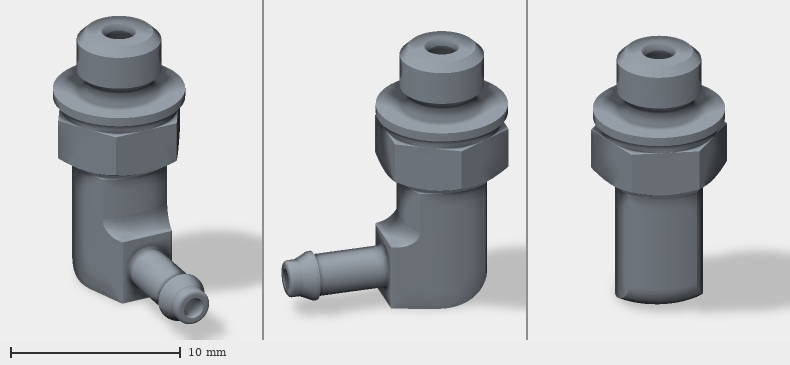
import cadquery as cq
import math

total_height = 16.0
thread_chamfer = 0.5
thread_bottom = 13.47
washer_top = 12.24
washer_bottom = 11.7
hex_top = 11.02
hex_bottom = 8.22
body_top = 7.6

thread_radius = 5.0 / 2
groove_radius = 4.02 / 2
groove_upper_fillet = 0.32
groove_lower_fillet = 0.48
washer_radius = 7.8 / 2
hex_across_flats = 7.0
hex_chamfer_angle = 30.0
neck_radius = 2.5 / 2
neck_fillet = 0.3

body_half_width = 2.6
body_reach = 2.6
bow_radius = 4.15
side_tangent_x = 1.25
block_end_x = 3.62
block_height = 4.05
block_edge_fillet = 0.15
step_fillet = 0.96
heel_fillet = 1.52

barb_end_x = 9.6
barb_axis_z = block_height / 2
tube_radius = 2.5 / 2
tube_root_fillet = 0.18
barb_radius = 2.95 / 2
barb_start_x = 7.9
barb_start_fillet = 0.1
barb_land = 0.2
barb_crest_fillet = 0.18
barb_tip_radius = 2.2 / 2
barb_cone_end_x = 8.91
barb_tip_fillet = 0.22

inlet_radius = 1.5 / 2
inlet_mouth_radius = 2.08 / 2
countersink_depth = 0.34
outlet_radius = 1.3 / 2


def make_stem():
    """Turned neck, boss, washer and threaded end, revolved about Z."""
    groove_corner_z = thread_bottom - (thread_radius - groove_radius)
    setback = groove_upper_fillet * math.tan(math.radians(22.5))
    setback_45 = setback * math.sqrt(0.5)
    blend_mid_angle = math.radians(22.5)
    return (
        cq.Workplane("XZ")
        .moveTo(0, body_top)
        .lineTo(neck_radius, body_top)
        .lineTo(neck_radius, hex_bottom - neck_fillet)
        .radiusArc((neck_radius + neck_fillet, hex_bottom), neck_fillet)
        .lineTo(neck_radius + neck_fillet, hex_top)
        .lineTo(hex_across_flats / 2, hex_top)
        .lineTo(hex_across_flats / 2, washer_bottom)
        .lineTo(washer_radius, washer_bottom)
        .lineTo(washer_radius, washer_top)
        .lineTo(groove_radius + groove_lower_fillet, washer_top)
        .radiusArc((groove_radius, washer_top + groove_lower_fillet), groove_lower_fillet)
        .lineTo(groove_radius, groove_corner_z - setback)
        .threePointArc(
            (
                groove_radius + groove_upper_fillet * (1 - math.cos(blend_mid_angle)),
                groove_corner_z - setback + groove_upper_fillet * math.sin(blend_mid_angle),
            ),
            (groove_radius + setback_45, groove_corner_z + setback_45),
        )
        .lineTo(thread_radius, thread_bottom)
        .lineTo(thread_radius, total_height - thread_chamfer)
        .lineTo(thread_radius - thread_chamfer, total_height)
        .lineTo(0, total_height)
        .close()
        .revolve(360, (0, 0, 0), (0, 1, 0))
    )


def make_hexagon():
    """Hexagon with corners on Y and its lower corners turned off by a cone."""
    corner_radius = hex_across_flats / math.sqrt(3)
    flat_radius = hex_across_flats / 2
    chamfer_height = (corner_radius - flat_radius) * math.tan(math.radians(hex_chamfer_angle))
    prism = (
        cq.Workplane("XY", origin=(0, 0, hex_bottom))
        .polygon(6, 2 * corner_radius)
        .extrude(hex_top - hex_bottom)
        .rotate((0, 0, 0), (0, 0, 1), 30)
    )
    turned_blank = (
        cq.Workplane("XZ")
        .moveTo(0, hex_bottom)
        .lineTo(flat_radius, hex_bottom)
        .lineTo(corner_radius, hex_bottom + chamfer_height)
        .lineTo(corner_radius, hex_top)
        .lineTo(0, hex_top)
        .close()
        .revolve(360, (0, 0, 0), (0, 1, 0))
    )
    return prism.intersect(turned_blank)


def side_bow_y(x):
    """Half width of the body at x, along the bowed side."""
    return body_half_width - bow_radius + math.sqrt(bow_radius**2 - x**2)


def side_flat_y(x):
    """Half width of the body at x, along the flat side tangent to the bow."""
    slope = side_tangent_x / math.sqrt(bow_radius**2 - side_tangent_x**2)
    return side_bow_y(side_tangent_x) - slope * (x - side_tangent_x)


def front_corner():
    """Point where the flat side meets the curved front of the column."""
    center_x = body_reach - bow_radius
    side_angle = math.asin(side_tangent_x / bow_radius)
    distance = side_flat_y(center_x) * math.cos(side_angle)
    chord = math.sqrt(bow_radius**2 - distance**2)
    x = center_x + distance * math.sin(side_angle) + chord * math.cos(side_angle)
    return x, side_flat_y(x)


def rear_corner():
    """Point where the bowed side meets the curved rear."""
    center_x = bow_radius - body_reach
    center_y = body_half_width - bow_radius
    spacing = math.hypot(center_x, center_y)
    reach = math.sqrt(bow_radius**2 - (spacing / 2) ** 2)
    x = center_x / 2 + reach * center_y / spacing
    y = center_y / 2 + reach * center_x / spacing
    return x, y


def body_outline():
    """Curved rear and bowed sides, open at the two flat-side tangent points."""
    tangent_y = side_bow_y(side_tangent_x)
    corner_x, corner_y = rear_corner()
    return (
        cq.Workplane("XY")
        .moveTo(side_tangent_x, tangent_y)
        .threePointArc((0, body_half_width), (corner_x, corner_y))
        .threePointArc((-body_reach, 0), (corner_x, -corner_y))
        .threePointArc((0, -body_half_width), (side_tangent_x, -tangent_y))
    )


def make_body():
    """Elbow: a column standing on a longer block, with a rounded heel."""
    corner_x, corner_y = front_corner()
    block_end_y = side_flat_y(block_end_x)
    column = (
        body_outline()
        .lineTo(corner_x, -corner_y)
        .threePointArc((body_reach, 0), (corner_x, corner_y))
        .close()
        .extrude(body_top)
    )
    block = (
        body_outline()
        .lineTo(block_end_x, -block_end_y)
        .lineTo(block_end_x, block_end_y)
        .close()
        .extrude(block_height)
    )
    body = column.union(block).clean()
    step_edge = cq.selectors.NearestToPointSelector((body_reach, 0, block_height))
    heel_edge = cq.selectors.NearestToPointSelector((-body_reach, 0, 0))
    body = body.edges(step_edge).fillet(step_fillet)
    body = body.edges(heel_edge).fillet(heel_fillet)
    return body.faces(">X").edges("|Z").fillet(block_edge_fillet)


def make_barb():
    """Hose tube with a conical barb, revolved about its horizontal axis."""
    barb = (
        cq.Workplane("XZ", origin=(0, 0, barb_axis_z))
        .moveTo(side_tangent_x, 0)
        .lineTo(side_tangent_x, tube_radius + tube_root_fillet)
        .lineTo(block_end_x, tube_radius + tube_root_fillet)
        .radiusArc((block_end_x + tube_root_fillet, tube_radius), -tube_root_fillet)
        .lineTo(barb_start_x - barb_start_fillet, tube_radius)
        .radiusArc((barb_start_x, tube_radius + barb_start_fillet), -barb_start_fillet)
        .lineTo(barb_start_x, barb_radius)
        .lineTo(barb_start_x + barb_land, barb_radius)
        .lineTo(barb_cone_end_x, barb_tip_radius)
        .lineTo(barb_end_x - barb_tip_fillet, barb_tip_radius)
        .radiusArc((barb_end_x, barb_tip_radius - barb_tip_fillet), barb_tip_fillet)
        .lineTo(barb_end_x, 0)
        .close()
        .revolve(360, (0, 0, 0), (1, 0, 0))
    )
    crest_x = barb_start_x + barb_land
    margin = barb_land / 2
    crest_edge = cq.selectors.BoxSelector(
        (crest_x - margin, -margin, barb_axis_z - margin),
        (crest_x + margin, margin, barb_axis_z + margin),
    )
    return barb.edges(crest_edge).fillet(barb_crest_fillet)


def make_bores():
    """Countersunk vertical inlet meeting the horizontal outlet in the elbow."""
    inlet_bottom = barb_axis_z - outlet_radius
    inlet = (
        cq.Workplane("XZ")
        .moveTo(0, inlet_bottom)
        .lineTo(inlet_radius, inlet_bottom)
        .lineTo(inlet_radius, total_height - countersink_depth)
        .lineTo(inlet_mouth_radius, total_height)
        .lineTo(0, total_height)
        .close()
        .revolve(360, (0, 0, 0), (0, 1, 0))
    )
    outlet = (
        cq.Workplane("YZ", origin=(0, 0, barb_axis_z))
        .circle(outlet_radius)
        .extrude(barb_end_x)
    )
    return inlet.union(outlet)


solid = make_stem().union(make_hexagon()).union(make_body()).union(make_barb())
result = solid.cut(make_bores())